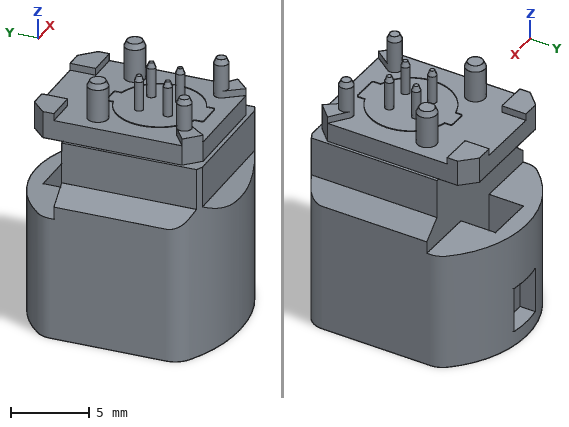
import cadquery as cq
import math

half_width = 6.0
front_y = -5.65
rear_y = 8.6
shell_top = 13.53
front_radius = 10.15
rear_radius = 7.5
front_flat = 0.44
corner_radius = 1.5

block_half_width = 4.73
block_front_y = -4.8
block_rear_y = 4.79
shoulder_low = 9.52
shoulder_high = 10.67
shelf_z = 8.65

slot_width = 3.48
slot_rear_y = 7.35
window_width = 2.64
window_low = 1.1
window_high = 4.44

plate_half_width = 4.52
plate_front_y = -4.52
plate_rear_y = 7.22
plate_top = 14.92
plate_chamfer = 1.02
pad_top = 15.42
rear_pad_inner_x = 2.29
rear_pad_front_y = 5.42

disc_diameter = 6.02
disc_height = 0.05
key_reach = 3.45
rear_key_width = 1.35
front_key_width = 1.97
key_fillet = 0.12

contact_offset = 1.0
contact_diameter = 0.6
contact_top = 17.4
contact_tip_diameter = 0.32
mount_offset = 3.01
rear_mount_diameter = 1.4
rear_mount_tip_diameter = 1.05
front_mount_diameter = 1.0
front_mount_tip_diameter = 0.67
mount_top = 17.6
tip_length = 0.37


def box(x_min, x_max, y_min, y_max, z_min, z_max):
    """Axis-aligned box between two opposite corners."""
    size = (x_max - x_min, y_max - y_min, z_max - z_min)
    return cq.Workplane("XY").box(*size, centered=False).translate((x_min, y_min, z_min))


def make_shell():
    """Rounded outline, narrowed by the front and side profiles."""
    flat_x = front_flat / 2
    front_center_y = front_y + front_radius
    rear_center_y = rear_y - rear_radius

    def front_arc_y(x):
        return front_center_y - math.sqrt(front_radius**2 - (x - flat_x) ** 2)

    def rear_arc_y(x):
        return rear_center_y + math.sqrt(rear_radius**2 - x**2)

    front_corner_y = front_arc_y(half_width)
    rear_corner_y = rear_arc_y(half_width)
    front_mid_x = half_width / 2
    front_mid_y = front_arc_y(front_mid_x)
    outline = (
        cq.Workplane("XY")
        .moveTo(-flat_x, front_y)
        .lineTo(flat_x, front_y)
        .threePointArc((front_mid_x, front_mid_y), (half_width, front_corner_y))
        .lineTo(half_width, rear_corner_y)
        .threePointArc((0, rear_y), (-half_width, rear_corner_y))
        .lineTo(-half_width, front_corner_y)
        .threePointArc((-front_mid_x, front_mid_y), (-flat_x, front_y))
        .close()
        .extrude(shell_top)
    )
    outline = outline.edges("|Z and (>X or <X)").fillet(corner_radius)

    front_profile = (
        cq.Workplane("XZ", origin=(0, rear_y, 0))
        .moveTo(-half_width, 0)
        .lineTo(half_width, 0)
        .lineTo(half_width, shoulder_low)
        .lineTo(block_half_width, shoulder_high)
        .lineTo(block_half_width, shell_top)
        .lineTo(-block_half_width, shell_top)
        .lineTo(-block_half_width, shoulder_high)
        .lineTo(-half_width, shoulder_low)
        .close()
        .extrude(rear_y - front_y)
    )
    side_profile = (
        cq.Workplane("YZ", origin=(-half_width, 0, 0))
        .moveTo(front_y, 0)
        .lineTo(rear_y, 0)
        .lineTo(rear_y, shelf_z)
        .lineTo(block_rear_y, shelf_z)
        .lineTo(block_rear_y, shell_top)
        .lineTo(block_front_y, shell_top)
        .lineTo(block_front_y, shoulder_high)
        .lineTo(front_y, shoulder_low)
        .close()
        .extrude(2 * half_width)
    )
    return outline.intersect(front_profile).intersect(side_profile)


def cut_latch(shell):
    """Vertical slot behind the block and a window from it through the rear wall."""
    slot_x = slot_width / 2
    window_x = window_width / 2
    slot = box(-slot_x, slot_x, block_rear_y, slot_rear_y, 0, shelf_z)
    window = box(-window_x, window_x, slot_rear_y, rear_y, window_low, window_high)
    return shell.cut(slot).cut(window)


def plate_blank(z_max):
    """Chamfered plate outline from the top of the shell up to z_max."""
    blank = box(-plate_half_width, plate_half_width, plate_front_y, plate_rear_y, shell_top, z_max)
    return blank.edges("|Z").chamfer(plate_chamfer)


def front_pad():
    """Pad whose sides run from the front left chamfer tangent to the mounting pin."""
    radius = front_mount_diameter / 2
    start_x = -plate_half_width
    start_y = plate_front_y + plate_chamfer
    to_pin_x = -mount_offset - start_x
    to_pin_y = -mount_offset - start_y
    distance = math.hypot(to_pin_x, to_pin_y)
    normal_angle = math.atan2(to_pin_y, to_pin_x) + math.asin(radius / distance) + math.pi / 2
    tangent_x = -mount_offset + radius * math.cos(normal_angle)
    tangent_y = -mount_offset + radius * math.sin(normal_angle)
    corners = [
        (start_x, start_y),
        (tangent_x, tangent_y),
        (tangent_y, tangent_x),
        (start_y, start_x),
    ]
    base = cq.Workplane("XY").workplane(offset=plate_top)
    return base.polyline(corners).close().extrude(pad_top - plate_top)


def make_plate():
    """Plate with two rear corner pads and two front pads."""
    plate = plate_blank(plate_top)
    rear_pad = plate_blank(pad_top).intersect(
        box(-plate_half_width, -rear_pad_inner_x, rear_pad_front_y, plate_rear_y, plate_top, pad_top)
    )
    for pad in (rear_pad, front_pad()):
        plate = plate.union(pad).union(pad.mirror("YZ"))
    return plate


def make_disc():
    """Low disc with one key at the rear and a wider one at the front."""
    disc_top = plate_top + disc_height
    disc = cq.Workplane("XY").workplane(offset=plate_top).circle(disc_diameter / 2).extrude(disc_height)
    rear_x = rear_key_width / 2
    front_x = front_key_width / 2
    rear_key = box(-rear_x, rear_x, 0, key_reach, plate_top, disc_top)
    rear_key = rear_key.edges("|Z and >Y").fillet(key_fillet)
    front_key = box(-front_x, front_x, -key_reach, 0, plate_top, disc_top)
    front_key = front_key.edges("|Z and <Y").fillet(key_fillet)
    return disc.union(rear_key).union(front_key)


def make_pin(x, y, diameter, tip_diameter, top):
    """Round pin standing in the plate, with a conical tip."""
    radius = diameter / 2
    return (
        cq.Workplane("XZ")
        .moveTo(0, shell_top)
        .lineTo(radius, shell_top)
        .lineTo(radius, top - tip_length)
        .lineTo(tip_diameter / 2, top)
        .lineTo(0, top)
        .close()
        .revolve(360, (0, 0), (0, 1))
        .translate((x, y, 0))
    )


result = cut_latch(make_shell()).union(make_plate()).union(make_disc())

for side in (-1, 1):
    mount_x = side * mount_offset
    rear_mount = make_pin(mount_x, mount_offset, rear_mount_diameter, rear_mount_tip_diameter, mount_top)
    front_mount = make_pin(mount_x, -mount_offset, front_mount_diameter, front_mount_tip_diameter, mount_top)
    result = result.union(rear_mount).union(front_mount)
    for row in (-1, 1):
        contact = make_pin(
            side * contact_offset, row * contact_offset, contact_diameter, contact_tip_diameter, contact_top
        )
        result = result.union(contact)